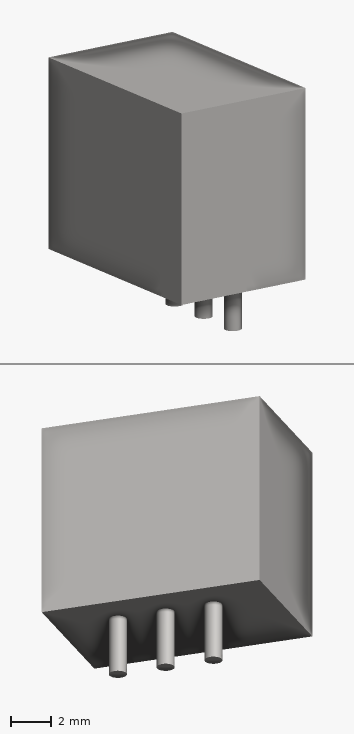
import cadquery as cq

body_length = 11.6
body_width = 7.55
body_height = 10.0

pin_count = 3
pin_pitch = 2.54
pin_diameter = 0.9
pin_length = 3.0
pin_row_to_back = 2.15


def make_body():
    """Plain block centred on X and Y, standing on Z = 0."""
    return cq.Workplane("XY").box(
        body_length, body_width, body_height, centered=(True, True, False)
    )


def make_pins():
    """Row of pins along X, centred on the body length, hanging below Z = 0."""
    pin_row_y = body_width / 2 - pin_row_to_back
    return (
        cq.Workplane("XY")
        .center(0, pin_row_y)
        .rarray(pin_pitch, 1, pin_count, 1)
        .circle(pin_diameter / 2)
        .extrude(-pin_length)
    )


result = make_body().union(make_pins())